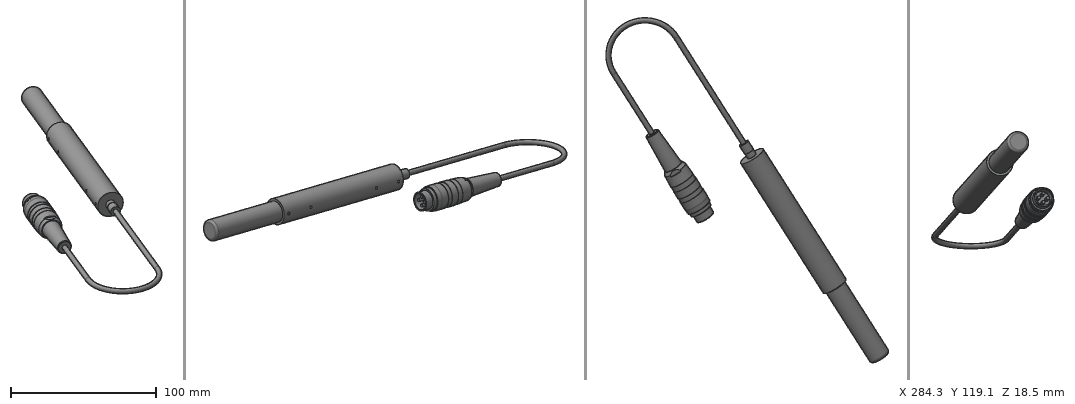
import cadquery as cq
import math

PROBE_TILT = -13.1

ROD_DIA = 15.0
ROD_EDGE_RADIUS = 1.7
ROD_INSERTION = 28.5
HANDLE_DIA = 18.5
HANDLE_START = 60.0
HANDLE_LENGTH = 109.0
HANDLE_END = HANDLE_START + HANDLE_LENGTH

SCREW_HOLE_DIA = 1.7
SCREW_HOLE_DEPTH = (HANDLE_DIA - ROD_DIA) / 2
SCREW_HOLE_SETBACKS = (4.3, 24.5)

FERRULE_BASE_DIA = 6.8
FERRULE_BASE_LENGTH = 4.0
FERRULE_DIA = 7.0
FERRULE_LENGTH = 10.8

CABLE_DIA = 3.7
BEND_START = 268.8
BEND_RADIUS = 25.0
CONNECTOR_OFFSET = -2 * BEND_RADIUS

CONNECTOR_FRONT = 148.2
LIP_DIA = 13.5
LIP_END = 154.0
COLLAR_DIA = 16.0
COLLAR_END = 156.7
SHELL_DIA = 18.2
SHELL_FRONT_DIA = 17.5
SHELL_START = 160.5
SHELL_END = 175.5
GROOVE_DIA = 17.5
GROOVE_START = 166.5
GROOVE_END = 169.8
NUT_START = 179.5
NUT_FRONT_DIA = 18.0
NUT_END_DIA = 16.8
NUT_TAPER_END = 188.0
BOOT_START = 190.5
NUT_REAR_DIA = 14.2
BOOT_DIA = 13.0
BOOT_END_DIA = 10.0
BOOT_END = 218.7
BOOT_CHAMFER = 0.5

FLAT_START = 186.9
FLAT_HEIGHT = 7.5
FLAT_CUT_DEPTH = 2.8

SOCKET_DIA = 11.5
SOCKET_DEPTH = 7.0
PIN_DIA = 2.25
PIN_LENGTH = 5.7
PIN_COUNT = 4
PIN_CIRCLE_RADIUS = 3.0


def cylinder(start, end, diameter, y=0.0, z=0.0):
    """A round bar along local X."""
    return cq.Workplane("YZ", origin=(start, y, z)).circle(diameter / 2).extrude(end - start)


def turned(profile, y=0.0):
    """Revolve (position, diameter) steps about a line along local X."""
    points = [(profile[0][0], 0.0)]
    points += [(position, diameter / 2) for position, diameter in profile]
    points.append((profile[-1][0], 0.0))
    solid = cq.Workplane("XY").polyline(points).close().revolve(360, (0, 0, 0), (1, 0, 0))
    return solid.translate((0, y, 0))


def make_rod():
    rod = cylinder(0, HANDLE_START + ROD_INSERTION, ROD_DIA)
    return rod.faces("<X").edges().fillet(ROD_EDGE_RADIUS)


def make_handle():
    handle = cylinder(HANDLE_START, HANDLE_END, HANDLE_DIA)
    handle = handle.cut(cylinder(HANDLE_START, HANDLE_START + ROD_INSERTION, ROD_DIA))
    for setback in SCREW_HOLE_SETBACKS:
        for position in (HANDLE_START + setback, HANDLE_END - setback):
            hole = cq.Workplane("XZ", origin=(position, -HANDLE_DIA / 2, 0)).circle(SCREW_HOLE_DIA / 2)
            handle = handle.cut(hole.extrude(-SCREW_HOLE_DEPTH))
    return handle


def make_ferrule():
    base_end = HANDLE_END + FERRULE_BASE_LENGTH
    end = HANDLE_END + FERRULE_LENGTH
    ferrule = cylinder(HANDLE_END, base_end, FERRULE_BASE_DIA)
    ferrule = ferrule.union(cylinder(base_end, end, FERRULE_DIA))
    return ferrule.cut(cylinder(HANDLE_END, end, CABLE_DIA))


def make_cable():
    path = (
        cq.Workplane("XY")
        .moveTo(HANDLE_END, 0)
        .lineTo(BEND_START, 0)
        .threePointArc((BEND_START + BEND_RADIUS, -BEND_RADIUS), (BEND_START, CONNECTOR_OFFSET))
        .lineTo(BOOT_START, CONNECTOR_OFFSET)
    )
    return cq.Workplane("YZ", origin=(HANDLE_END, 0, 0)).circle(CABLE_DIA / 2).sweep(path)


def make_connector_body():
    profile = [
        (CONNECTOR_FRONT, LIP_DIA),
        (LIP_END, LIP_DIA),
        (LIP_END, COLLAR_DIA),
        (COLLAR_END, COLLAR_DIA),
        (COLLAR_END, SHELL_FRONT_DIA),
        (SHELL_START, SHELL_DIA),
        (GROOVE_START, SHELL_DIA),
        (GROOVE_START, GROOVE_DIA),
        (GROOVE_END, GROOVE_DIA),
        (GROOVE_END, SHELL_DIA),
        (SHELL_END, SHELL_DIA),
        (SHELL_END, GROOVE_DIA),
        (NUT_START, GROOVE_DIA),
        (NUT_START, NUT_FRONT_DIA),
        (NUT_TAPER_END, NUT_END_DIA),
        (BOOT_START, NUT_REAR_DIA),
        (BOOT_START, BOOT_DIA),
        (BOOT_END - BOOT_CHAMFER, BOOT_END_DIA),
        (BOOT_END, BOOT_END_DIA - 2 * BOOT_CHAMFER),
    ]
    return turned(profile, CONNECTOR_OFFSET)


def cut_wrench_flats(connector):
    flat_length = BOOT_START - FLAT_START
    center_height = FLAT_HEIGHT + FLAT_CUT_DEPTH / 2
    for side in (1, -1):
        flat = cq.Workplane("XY").box(flat_length, SHELL_DIA, FLAT_CUT_DEPTH, centered=(False, True, True))
        connector = connector.cut(flat.translate((FLAT_START, CONNECTOR_OFFSET, side * center_height)))
    return connector


def add_socket_and_pins(connector):
    floor = CONNECTOR_FRONT + SOCKET_DEPTH
    connector = connector.cut(cylinder(CONNECTOR_FRONT, floor, SOCKET_DIA, CONNECTOR_OFFSET))
    for index in range(PIN_COUNT):
        angle = 2 * math.pi * index / PIN_COUNT
        y = CONNECTOR_OFFSET + PIN_CIRCLE_RADIUS * math.cos(angle)
        z = PIN_CIRCLE_RADIUS * math.sin(angle)
        connector = connector.union(cylinder(floor - PIN_LENGTH, floor, PIN_DIA, y, z))
    return connector


def make_connector():
    connector = make_connector_body()
    connector = cut_wrench_flats(connector)
    connector = add_socket_and_pins(connector)
    return connector.cut(cylinder(BOOT_START, BOOT_END, CABLE_DIA, CONNECTOR_OFFSET))


def placed(body):
    """Turn a body from the straight layout to its final direction."""
    return body.rotate((0, 0, 0), (0, 0, 1), PROBE_TILT).val()


rod = placed(make_rod())
handle = placed(make_handle())
ferrule = placed(make_ferrule())
cable = placed(make_cable())
connector = placed(make_connector())

result = cq.Compound.makeCompound([rod, handle, ferrule, cable, connector])